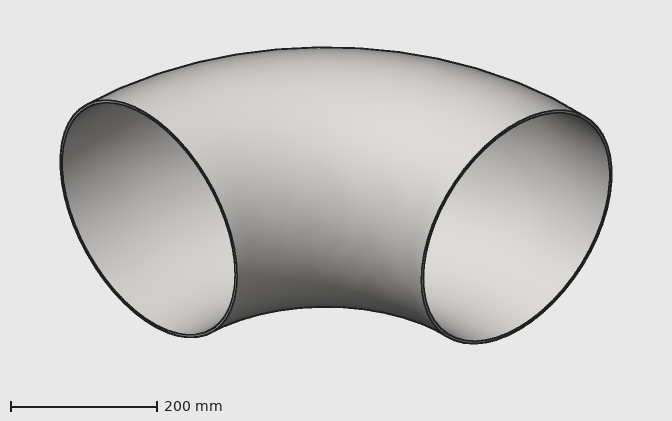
import cadquery as cq

OUTER_DIAMETER = 355.6
WALL_THICKNESS = 4.0
BEND_RADIUS = 356.0
BEND_ANGLE = 90.0

outer_radius = OUTER_DIAMETER / 2
inner_radius = outer_radius - WALL_THICKNESS


def make_elbow():
    """Sweep the pipe ring about the bend axis.

    The ring starts in the XZ plane, centred on the origin and open toward -Y.
    It turns clockwise, seen from +Z, and ends open toward +X.
    """
    ring = cq.Workplane("XZ").circle(outer_radius).circle(inner_radius)
    axis_start = (BEND_RADIUS, 0)
    axis_end = (BEND_RADIUS, -1)
    return ring.revolve(BEND_ANGLE, axis_start, axis_end)


result = make_elbow()